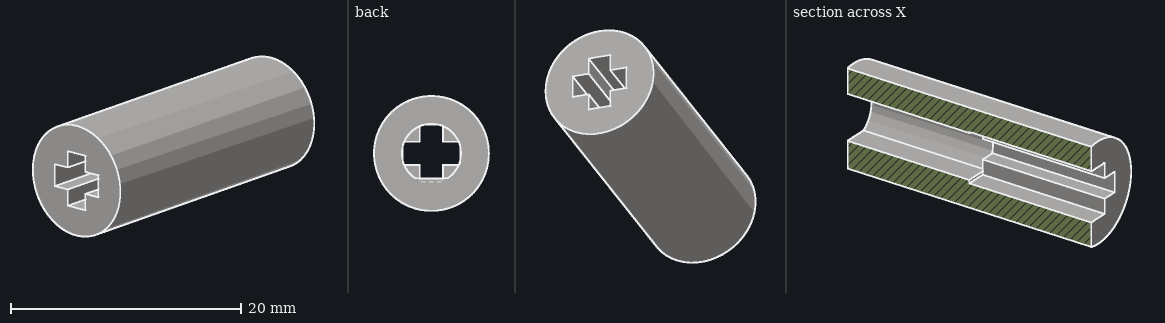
import cadquery as cq

length = 26.0
outer_diameter = 10.0
cross_span = 4.97
cross_arm_width = 2.0
bore_radius = 2.57
flat_distance = 2.15
socket_depth = length / 2
bore_depth = length - socket_depth


def along_y(start_y):
    """XZ sketch plane at start_y; extrusions run toward +Y."""
    return cq.Workplane(cq.Plane(origin=(0, start_y, 0), xDir=(-1, 0, 0), normal=(0, 1, 0)))


def cross_socket():
    wide_arm = along_y(-length / 2).rect(cross_span, cross_arm_width).extrude(socket_depth)
    tall_arm = along_y(-length / 2).rect(cross_arm_width, cross_span).extrude(socket_depth)
    return wide_arm.union(tall_arm)


def d_shaft_bore():
    start_y = length / 2 - bore_depth
    flat_height = bore_radius + flat_distance
    flat_center_z = (bore_radius - flat_distance) / 2
    bore = along_y(start_y).circle(bore_radius).extrude(bore_depth)
    kept_side = (
        along_y(start_y)
        .center(0, flat_center_z)
        .rect(2 * bore_radius, flat_height)
        .extrude(bore_depth)
    )
    return bore.intersect(kept_side)


sleeve = along_y(-length / 2).circle(outer_diameter / 2).extrude(length)
result = sleeve.cut(cross_socket()).cut(d_shaft_bore())